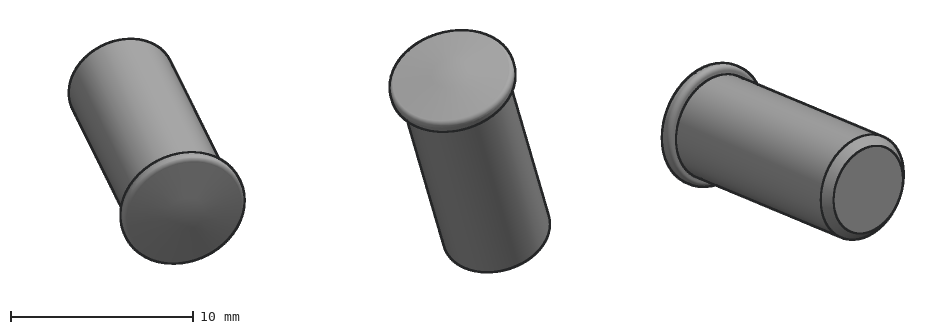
import cadquery as cq

total_length = 13.9
shank_radius = 3.0
flange_radius = 3.5
flange_thickness = 0.8
cone_height = 0.4
chamfer_size = 0.5
rim_fillet = 0.29

flange_front = total_length - cone_height - flange_thickness
flange_back = flange_front + flange_thickness

shank = (
    cq.Workplane("YZ")
    .circle(shank_radius)
    .extrude(flange_front)
    .faces("<X")
    .chamfer(chamfer_size)
)

flange = (
    cq.Workplane("YZ", origin=(flange_front, 0, 0))
    .circle(flange_radius)
    .extrude(flange_thickness)
    .edges()
    .fillet(rim_fillet)
)

cone_base_radius = flange_radius - rim_fillet
cone = cq.Workplane(
    cq.Solid.makeCone(
        cone_base_radius,
        0,
        cone_height,
        pnt=cq.Vector(flange_back, 0, 0),
        dir=cq.Vector(1, 0, 0),
    )
)

result = shank.union(flange).union(cone)